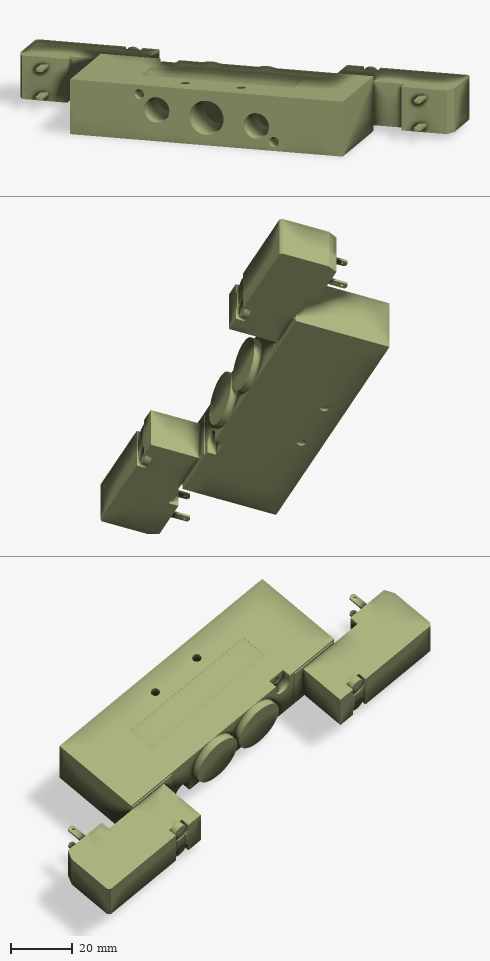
import cadquery as cq

overall_length = 148.2
overall_depth = 50.7

housing_length = 93.0
housing_depth = 33.2
housing_height = 18.5

main_port_diameter = 11.6
side_port_diameter = 8.6
side_port_x = 17.0
side_port_z = 1.3
port_depth = 15.0

fixing_hole_diameter = 3.3
fixing_hole_x = 23.0
fixing_hole_z = 6.2
fixing_recess_width = 6.3
fixing_recess_depth = 3.1
mounting_hole_diameter = 3.0
mounting_hole_x = 9.5
mounting_hole_y = 7.0

label_length = 52.0
label_width = 10.0
label_y = 17.0
label_depth = 0.1

disc_diameter = 18.0
disc_thickness = 2.65
disc_x = 9.5

solenoid_height = 14.7
solenoid_inner_x = 32.0
solenoid_outer_x = overall_length / 2
base_y = 33.5
foot_y = 30.1
foot_inner_x = 57.0
foot_chamfer_x = 1.6
back_chamfer = 0.8

plate_inner_x = 28.2
plate_outer_x = 46.0
plate_height = 16.7

screw_diameter = 5.8
screw_x = 40.6
screw_overhang = 0.45
screw_z = solenoid_height / 2 + screw_overhang - screw_diameter / 2
screw_seat_depth = 3.1
screw_head_drop = 1.0
groove_inner_x = 38.7
groove_outer_x = screw_x + screw_diameter / 2
groove_depth = 0.5

blade_width = 2.4
blade_thickness = 0.8
blade_x = 64.5
blade_z = 4.7
blade_tip_y = 22.8
blade_tip_bulge = 0.6
blade_hole_diameter = 1.0
blade_hole_y = 24.6


def box(x_range, y_range, z_range):
    """Axis-aligned box between the given limits."""
    size = [high - low for low, high in (x_range, y_range, z_range)]
    return cq.Workplane("XY").box(*size, centered=False).translate((x_range[0], y_range[0], z_range[0]))


def y_cylinder(diameter, x, z, y_start, y_end):
    """Cylinder along Y from y_start to y_end."""
    axis_start = cq.Vector(x, y_start, z)
    return cq.Workplane(cq.Solid.makeCylinder(diameter / 2, y_end - y_start, axis_start, cq.Vector(0, 1, 0)))


def open_seat(width, x, z, side, z_edge, y_start, y_end):
    """U-shaped cutter along Y: round at z, running out through the +Z (side 1) or -Z (side -1) face."""
    z_limits = sorted((z, side * z_edge))
    slot = box((x - width / 2, x + width / 2), (y_start, y_end), z_limits)
    return y_cylinder(width, x, z, y_start, y_end).union(slot)


def make_housing():
    half_length = housing_length / 2
    half_height = housing_height / 2
    housing = box((-half_length, half_length), (0, housing_depth), (-half_height, half_height))

    housing = housing.cut(y_cylinder(main_port_diameter, 0, 0, 0, port_depth))
    for side in (-1, 1):
        x = side * side_port_x
        z = -side * side_port_z
        housing = housing.cut(y_cylinder(side_port_diameter, x, z, 0, port_depth))

    for side in (-1, 1):
        x = side * fixing_hole_x
        z = -side * fixing_hole_z
        recess_floor = housing_depth - fixing_recess_depth
        housing = housing.cut(y_cylinder(fixing_hole_diameter, x, z, 0, housing_depth))
        housing = housing.cut(
            open_seat(fixing_recess_width, x, z, -side, half_height, recess_floor, housing_depth)
        )

    mounting_holes = (
        cq.Workplane("XY", origin=(0, 0, -half_height))
        .pushPoints([(-mounting_hole_x, mounting_hole_y), (mounting_hole_x, mounting_hole_y)])
        .circle(mounting_hole_diameter / 2)
        .extrude(housing_height)
    )

    label_field = box(
        (-label_length / 2, label_length / 2),
        (label_y - label_width / 2, label_y + label_width / 2),
        (half_height - label_depth, half_height),
    )
    return housing.cut(mounting_holes).cut(label_field)


def make_outlet_disc(x):
    return y_cylinder(disc_diameter, x, 0, housing_depth, housing_depth + disc_thickness)


def make_blade(z):
    """Flat contact blade with a rounded tip and a small cross hole."""
    half_width = blade_width / 2
    bottom = z - blade_thickness / 2
    shoulder_y = blade_tip_y + blade_tip_bulge
    blade = (
        cq.Workplane("XY", origin=(0, 0, bottom))
        .moveTo(blade_x - half_width, foot_y)
        .lineTo(blade_x - half_width, shoulder_y)
        .threePointArc((blade_x, blade_tip_y), (blade_x + half_width, shoulder_y))
        .lineTo(blade_x + half_width, foot_y)
        .close()
        .extrude(blade_thickness)
    )
    hole = (
        cq.Workplane("XY", origin=(blade_x, blade_hole_y, bottom))
        .circle(blade_hole_diameter / 2)
        .extrude(blade_thickness)
    )
    return blade.cut(hole)


def make_solenoid():
    """Solenoid for the +X end, with its mounting plate, screw heads and blades."""
    half_height = solenoid_height / 2
    outline = [
        (solenoid_inner_x, overall_depth),
        (solenoid_outer_x - back_chamfer, overall_depth),
        (solenoid_outer_x, overall_depth - back_chamfer),
        (solenoid_outer_x, base_y),
        (solenoid_outer_x - foot_chamfer_x, foot_y),
        (foot_inner_x, foot_y),
        (foot_inner_x, base_y),
        (solenoid_inner_x, base_y),
    ]
    solenoid = (
        cq.Workplane("XY", origin=(0, 0, -half_height))
        .polyline(outline)
        .close()
        .extrude(solenoid_height)
    )

    plate = box(
        (plate_inner_x, plate_outer_x),
        (housing_depth, base_y),
        (-plate_height / 2, plate_height / 2),
    )
    solenoid = solenoid.union(plate)

    groove = box(
        (groove_inner_x, groove_outer_x),
        (overall_depth - groove_depth, overall_depth),
        (-half_height, half_height),
    )
    solenoid = solenoid.cut(groove)

    seat_floor = overall_depth - screw_seat_depth
    head_end = overall_depth - screw_head_drop
    for side in (-1, 1):
        z = side * screw_z
        solenoid = solenoid.cut(
            open_seat(screw_diameter, screw_x, z, side, half_height, seat_floor, overall_depth)
        )
        solenoid = solenoid.union(y_cylinder(screw_diameter, screw_x, z, seat_floor, head_end))

    for side in (-1, 1):
        solenoid = solenoid.union(make_blade(side * blade_z))
    return solenoid


housing = make_housing()
discs = [make_outlet_disc(side * disc_x) for side in (-1, 1)]
right_solenoid = make_solenoid()
left_solenoid = right_solenoid.mirror("YZ")

result = cq.Compound.makeCompound(
    [
        housing.solids().val(),
        *[disc.val() for disc in discs],
        right_solenoid.solids().val(),
        left_solenoid.solids().val(),
    ]
)